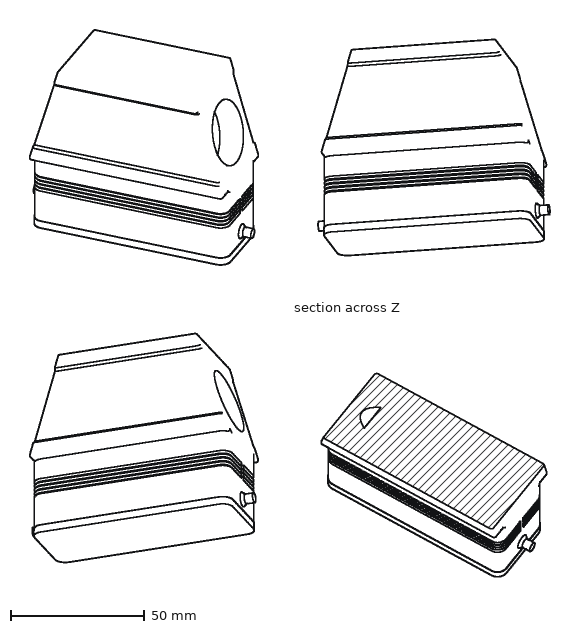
import cadquery as cq
import math

total_length = 88.5
total_height = 70.5

body_length = 79.3
body_width = 29.5
corner_radius = 3.9
foot_length = 79.65
foot_width = 29.7
foot_corner_radius = 4.1
foot_height = 3.0

hood_bottom = 30.1
hood_width = 36.0
hood_top_length = 55.6
hood_edge_radius = 1.0
hood_height = total_height - hood_bottom
slope_run = (body_length - hood_top_length) / 2
slope_angle = math.atan2(slope_run, hood_height)

recess_bottom = 35.7
recess_top = 65.0
recess_depth = 1.0

groove_count = 4
groove_band_height = 6.2
groove_pitch = groove_band_height / groove_count
groove_depth = 0.75
groove_band_top = 22.0
bridge_width = 1.95

pin_height = 7.5
pin_radius = 1.9
collar_radius = 2.8
collar_length = 1.2

entry_diameter = 25.0
entry_x = 34.2
entry_depth = 10.0


def rounded_block(length, width, radius, bottom, height):
    """Upright block with rounded vertical corners."""
    block = cq.Workplane("XY").workplane(offset=bottom).rect(length, width).extrude(height)
    return block.edges("|Z").fillet(radius)


def hood_prism():
    """Sharp-edged trapezoid prism from the hood underside to the top."""
    return (
        cq.Workplane("XZ")
        .moveTo(-body_length / 2, hood_bottom)
        .lineTo(body_length / 2, hood_bottom)
        .lineTo(hood_top_length / 2, total_height)
        .lineTo(-hood_top_length / 2, total_height)
        .close()
        .extrude(hood_width / 2, both=True)
    )


def side_recess(side):
    """Cutter for the recess in the long hood face at Y = side * half width."""
    outer = side * hood_width / 2
    inner = outer - side * recess_depth
    return (
        cq.Workplane("YZ")
        .moveTo(outer, recess_bottom)
        .lineTo(inner, recess_bottom + recess_depth)
        .lineTo(inner, recess_top - recess_depth)
        .lineTo(outer, recess_top)
        .close()
        .extrude(body_length / 2, both=True)
    )


def make_hood():
    """Solid hood with side recesses and rounded edges."""
    hood = hood_prism()
    for side in (-1, 1):
        hood = hood.cut(side_recess(side))
    rounded = hood.faces("not(|Y or |Z)").faces("<X or >X").edges()
    rounded = rounded.add(hood.faces("<Z or >Z").edges("|X"))
    return rounded.fillet(hood_edge_radius)


def groove_ring(top):
    """One V-groove cutter running round the body."""
    half = groove_pitch / 2
    bottom = top - groove_pitch
    taper = math.degrees(math.atan2(groove_depth, half))
    outline = cq.Sketch().rect(body_length, body_width).vertices().fillet(corner_radius)
    upper_land = cq.Workplane("XY", origin=(0, 0, top)).placeSketch(outline).extrude(-half, taper=taper)
    lower_land = cq.Workplane("XY", origin=(0, 0, bottom)).placeSketch(outline).extrude(half, taper=taper)
    ring = rounded_block(body_length, body_width, corner_radius, bottom, groove_pitch)
    bridge = cq.Workplane("XY", origin=(0, 0, top)).box(total_length, bridge_width, total_height)
    return ring.cut(upper_land).cut(lower_land).cut(bridge)


def make_body():
    """Grooved body and foot; its top reaches into the hood, trimmed to the sloping faces."""
    body = rounded_block(body_length, body_width, corner_radius, 0, recess_bottom)
    below_hood = cq.Workplane("XY").rect(total_length, hood_width).extrude(hood_bottom)
    body = body.intersect(hood_prism().union(below_hood))
    for index in range(groove_count):
        body = body.cut(groove_ring(groove_band_top - index * groove_pitch))
    foot = rounded_block(foot_length, foot_width, foot_corner_radius, 0, foot_height)
    return body.union(foot)


def make_pins():
    """Both pins, each with a tapered collar, as turned bars meeting inside the body."""
    face = body_length / 2
    tip = total_length / 2
    profile = (
        cq.Workplane("XZ", origin=(0, 0, pin_height))
        .lineTo(tip, 0)
        .lineTo(tip, pin_radius)
        .lineTo(face + collar_length, pin_radius)
        .lineTo(face, collar_radius)
        .lineTo(0, collar_radius)
        .close()
    )
    half = profile.revolve(360, (0, 0, 0), (1, 0, 0))
    return half.union(half.mirror("YZ"))


def cable_entry():
    """Round blind hole cutter, square to the +X slope."""
    entry_z = hood_bottom + (body_length / 2 - entry_x) * hood_height / slope_run
    plane = cq.Plane(
        origin=(entry_x, 0, entry_z),
        xDir=(0, 1, 0),
        normal=(-math.cos(slope_angle), 0, -math.sin(slope_angle)),
    )
    return cq.Workplane(plane).circle(entry_diameter / 2).extrude(entry_depth)


result = make_hood().union(make_body()).union(make_pins()).cut(cable_entry())